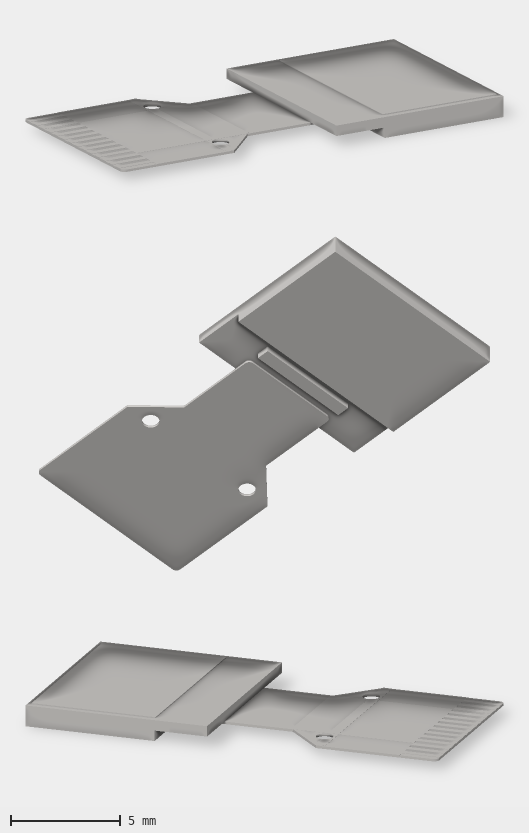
import cadquery as cq


panel_width = 9.96
cover_glass_length = 8.83
base_glass_length = 6.28
glass_thickness = 0.5
film_width = 9.38
film_thickness = 0.05
film_start_at = 0.19
film_end_at = 6.22

chip_width = 5.16
chip_start_at = 6.80
chip_end_at = 7.43
chip_height = 0.30

tail_end_at = 19.85
tail_thickness = 0.12
corner_radius = 0.25
layer_thickness = 0.01
strip_start_at = 7.95
connector_width = 9.0
shoulder_start_at = 12.06
shoulder_start_width = 5.06
shoulder_end_at = 13.95
collar_end_at = 14.36

hole_diameter = 0.8
hole_spacing = 6.2
hole_at = 13.86
coverlay_start_at = hole_at

contact_count = 14
contact_pitch = 0.62
contact_width = contact_pitch / 2
contact_thickness = 2 * layer_thickness
contact_start_at = 18.02

gaps_across_strip = 9
strip_width = (2 * gaps_across_strip - 1) * contact_width

strip_top = 0
tail_bottom = strip_top - tail_thickness
tail_top_limit = strip_top + tail_thickness


def slab(width, start_at, end_at, bottom, top):
    """Plate centred on X, between two distances from the rear edge."""
    return (
        cq.Workplane("XY", origin=(0, -(start_at + end_at) / 2, bottom))
        .rect(width, end_at - start_at)
        .extrude(top - bottom)
    )


def shouldered_plate(end_at, top):
    """Plate of connector width whose rear end tapers to the strip, with rounded front corners."""
    half_start = shoulder_start_width / 2
    half_width = connector_width / 2
    return (
        cq.Workplane("XY", origin=(0, 0, tail_bottom))
        .moveTo(-half_start, -shoulder_start_at)
        .lineTo(half_start, -shoulder_start_at)
        .lineTo(half_width, -shoulder_end_at)
        .lineTo(half_width, -end_at)
        .lineTo(-half_width, -end_at)
        .lineTo(-half_width, -shoulder_end_at)
        .close()
        .extrude(top - tail_bottom)
        .edges("|Z")
        .edges("<Y")
        .fillet(corner_radius)
    )


def make_panel():
    cover_glass = slab(panel_width, 0, cover_glass_length, 0, glass_thickness)
    base_glass = slab(panel_width, 0, base_glass_length, -glass_thickness, 0)
    film_top = glass_thickness + film_thickness
    film = slab(film_width, film_start_at, film_end_at, glass_thickness, film_top)
    chip = slab(chip_width, chip_start_at, chip_end_at, -chip_height, 0)
    return cover_glass.union(base_glass).union(film).union(chip)


def contact_regions():
    """Evenly spaced plates, one over each contact."""
    first_x = -contact_pitch * (contact_count - 1) / 2
    plate = slab(contact_width, contact_start_at, tail_end_at, tail_bottom, tail_top_limit)
    plates = cq.Workplane("XY")
    for index in range(contact_count):
        plates = plates.add(plate.translate((first_x + index * contact_pitch, 0, 0)))
    return plates.combine()


def locating_holes():
    """Solid cylinders to remove from the tail."""
    return (
        cq.Workplane("XY", origin=(0, -hole_at, tail_bottom))
        .pushPoints([(-hole_spacing / 2, 0), (hole_spacing / 2, 0)])
        .circle(hole_diameter / 2)
        .extrude(tail_top_limit - tail_bottom)
    )


def laminate(body, region, thickness):
    """Thicken the body upwards inside a region, following the steps already there."""
    return body.union(body.translate((0, 0, thickness)).intersect(region))


def make_tail():
    strip = slab(strip_width, strip_start_at, tail_end_at, tail_bottom, strip_top)
    strip = strip.edges("|Z").fillet(corner_radius)
    connector = shouldered_plate(tail_end_at, strip_top - layer_thickness)
    coverlay = slab(connector_width, coverlay_start_at, contact_start_at, tail_bottom, tail_top_limit)
    collar = shouldered_plate(collar_end_at, tail_top_limit)
    tail = strip.union(connector)
    tail = laminate(tail, coverlay, layer_thickness)
    tail = laminate(tail, collar, layer_thickness)
    tail = laminate(tail, contact_regions(), contact_thickness)
    return tail.cut(locating_holes())


result = make_panel().union(make_tail())